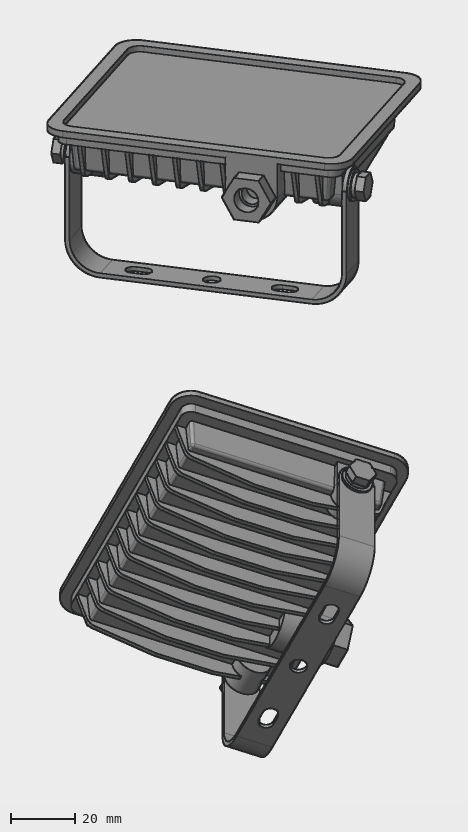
import cadquery as cq
import math


FRAME_X = 100.0
FRAME_Y = 80.0
FRAME_THICKNESS = 2.2
FRAME_CORNER = 7.0
FRAME_BORDER = 4.6
RECESS_CORNER = 4.0
RECESS_DEPTH = 2.0

RIM_INSET = 3.5
RIM_HEIGHT = 3.7
RIM_X = FRAME_X - 2 * RIM_INSET
RIM_Y = FRAME_Y - 2 * RIM_INSET
RIM_BOTTOM = -FRAME_THICKNESS - RIM_HEIGHT

BODY_INSET_X = 7.15
BODY_INSET_Y = 6.85
BODY_X = FRAME_X - 2 * BODY_INSET_X
BODY_Y = FRAME_Y - 2 * BODY_INSET_Y
BODY_HEIGHT = 10.0
BODY_DRAFT = 5.0
BODY_FILLET = 1.0

FIN_COUNT = 11
FIN_PITCH = 7.8
FIN_THICKNESS = 1.3
FIN_ROW_CENTER_X = 0.4
FIN_BOTTOM = -21.8
FIN_FLAT_HALF = 9.85
FIN_SHOULDER_Y = 32.6
FIN_SHOULDER_Z = -17.8
FIN_SHOULDER_RADIUS = 3.5

GLAND_X = 19.0
GLAND_RADIUS = 8.5
GLAND_Z = -13.5
GLAND_LENGTH = 18.0
NUT_ACROSS_FLATS = 14.0
NUT_HEIGHT = 5.0
NUT_BORE = 8.0
CABLE_BORE = 6.4
CABLE_BORE_DEPTH = 5.0

BRACKET_X = 92.5
BRACKET_THICKNESS = 1.5
BRACKET_WIDTH = 12.1
BRACKET_Y = -21.9
BRACKET_BOTTOM = -52.8
BRACKET_OUTER_BEND = 11.5
BRACKET_INNER_X = BRACKET_X / 2 - BRACKET_THICKNESS
PIVOT_Y = -21.75
PIVOT_Z = -13.75
MOUNT_HOLE = 5.5
MOUNT_SLOT_WIDTH = 5.0
MOUNT_SLOT_LENGTH = 8.5
MOUNT_SLOT_SPACING = 24.0

POST_LENGTH = 10.0
POST_RADIUS = 5.85
POST_Z = -15.0

WASHER_RADIUS = 5.1
WASHER_THICKNESS = 0.75
SPRING_WASHER_RADIUS = 4.0
SPRING_WASHER_THICKNESS = 1.35
BOLT_ACROSS_FLATS = 8.0
OVERALL_X = 102.6
BOLT_HEAD_HEIGHT = (OVERALL_X - BRACKET_X) / 2 - WASHER_THICKNESS - SPRING_WASHER_THICKNESS


def hexagon_diameter(across_flats):
    """Corner-to-corner size of a regular hexagon."""
    return across_flats / math.cos(math.pi / 6)


def rounded_block(size_x, size_y, height, corner, top):
    """Rounded rectangle hanging down from the given top level."""
    block = cq.Workplane("XY").workplane(offset=top).rect(size_x, size_y).extrude(-height)
    return block.edges("|Z").fillet(corner)


def make_frame():
    frame = rounded_block(FRAME_X, FRAME_Y, FRAME_THICKNESS, FRAME_CORNER, 0)
    rim = rounded_block(RIM_X, RIM_Y, RIM_HEIGHT, FRAME_CORNER - RIM_INSET, -FRAME_THICKNESS)
    return frame.union(rim)


def make_recess():
    return rounded_block(
        FRAME_X - 2 * FRAME_BORDER,
        FRAME_Y - 2 * FRAME_BORDER,
        RECESS_DEPTH,
        RECESS_CORNER,
        0,
    )


def make_body():
    body = (
        cq.Workplane("XY")
        .workplane(offset=RIM_BOTTOM)
        .rect(BODY_X, BODY_Y)
        .extrude(-BODY_HEIGHT, taper=BODY_DRAFT)
    )
    return body.edges("not >Z").fillet(BODY_FILLET)


def make_fin(x):
    fin = (
        cq.Workplane("YZ")
        .workplane(offset=x - FIN_THICKNESS / 2)
        .moveTo(RIM_Y / 2, RIM_BOTTOM)
        .lineTo(FIN_SHOULDER_Y, FIN_SHOULDER_Z)
        .lineTo(FIN_FLAT_HALF, FIN_BOTTOM)
        .lineTo(-FIN_FLAT_HALF, FIN_BOTTOM)
        .lineTo(-FIN_SHOULDER_Y, FIN_SHOULDER_Z)
        .lineTo(-RIM_Y / 2, RIM_BOTTOM)
        .close()
        .extrude(FIN_THICKNESS)
    )
    for shoulder_y in (-FIN_SHOULDER_Y, FIN_SHOULDER_Y):
        shoulder = cq.NearestToPointSelector((x, shoulder_y, FIN_SHOULDER_Z))
        fin = fin.edges("|X").edges(shoulder).fillet(FIN_SHOULDER_RADIUS)
    return fin


def front_plane(y):
    """Plane facing -Y at the given Y, centred on the cable gland."""
    return cq.Workplane(cq.Plane(origin=(GLAND_X, y, GLAND_Z), xDir=(1, 0, 0), normal=(0, -1, 0)))


def make_gland():
    back_y = -FRAME_Y / 2 + GLAND_LENGTH
    block_height = -FRAME_THICKNESS / 2 - GLAND_Z
    barrel = front_plane(back_y).circle(GLAND_RADIUS).extrude(GLAND_LENGTH)
    block = (
        front_plane(back_y)
        .center(0, block_height / 2)
        .rect(2 * GLAND_RADIUS, block_height)
        .extrude(GLAND_LENGTH)
    )
    nut = front_plane(-FRAME_Y / 2).polygon(6, hexagon_diameter(NUT_ACROSS_FLATS)).extrude(NUT_HEIGHT)
    return barrel.union(block).union(nut)


def make_cable_hole():
    nut_bore = front_plane(-FRAME_Y / 2).circle(NUT_BORE / 2).extrude(NUT_HEIGHT)
    cable_bore = front_plane(-FRAME_Y / 2).circle(CABLE_BORE / 2).extrude(-CABLE_BORE_DEPTH)
    return nut_bore.union(cable_bore)


def side_plane(x):
    """Plane facing +X at the given X, centred on the bracket pivot."""
    return cq.Workplane(cq.Plane(origin=(x, PIVOT_Y, PIVOT_Z), xDir=(0, 1, 0), normal=(1, 0, 0)))


def make_bracket():
    height = PIVOT_Z - BRACKET_BOTTOM
    outer = (
        cq.Workplane("XY")
        .box(BRACKET_X, BRACKET_WIDTH, height, centered=(True, True, False))
        .edges("|Y and <Z")
        .fillet(BRACKET_OUTER_BEND)
    )
    inner = (
        cq.Workplane("XY")
        .workplane(offset=BRACKET_THICKNESS)
        .box(2 * BRACKET_INNER_X, BRACKET_WIDTH, height, centered=(True, True, False))
        .edges("|Y and <Z")
        .fillet(BRACKET_OUTER_BEND - BRACKET_THICKNESS)
    )
    slots = (
        cq.Workplane("XY")
        .pushPoints([(-MOUNT_SLOT_SPACING, 0), (MOUNT_SLOT_SPACING, 0)])
        .slot2D(MOUNT_SLOT_LENGTH, MOUNT_SLOT_WIDTH)
        .extrude(BRACKET_THICKNESS)
    )
    hole = cq.Workplane("XY").circle(MOUNT_HOLE / 2).extrude(BRACKET_THICKNESS)
    strap = outer.cut(inner).cut(slots).cut(hole).translate((0, BRACKET_Y, BRACKET_BOTTOM))
    round_end = side_plane(BRACKET_INNER_X).circle(POST_RADIUS).extrude(BRACKET_THICKNESS)
    return strap.union(round_end).union(round_end.mirror("YZ"))


def make_post():
    """Round-bottomed post on the +X side, from the rim down."""
    start = BRACKET_INNER_X - POST_LENGTH
    height = RIM_BOTTOM - POST_Z
    drop = POST_Z - PIVOT_Z
    barrel = side_plane(start).center(0, drop).circle(POST_RADIUS).extrude(POST_LENGTH)
    block = (
        side_plane(start)
        .center(0, drop + height / 2)
        .rect(2 * POST_RADIUS, height)
        .extrude(POST_LENGTH)
    )
    return barrel.union(block)


def make_bolt():
    """Washer, spring washer and hexagon head on the +X side of the bracket."""
    spring_x = BRACKET_X / 2 + WASHER_THICKNESS
    head_x = spring_x + SPRING_WASHER_THICKNESS
    washer = side_plane(BRACKET_X / 2).circle(WASHER_RADIUS).extrude(WASHER_THICKNESS)
    spring = side_plane(spring_x).circle(SPRING_WASHER_RADIUS).extrude(SPRING_WASHER_THICKNESS)
    head = side_plane(head_x).polygon(6, hexagon_diameter(BOLT_ACROSS_FLATS)).extrude(BOLT_HEAD_HEIGHT)
    return washer.union(spring).union(head)


result = make_frame().union(make_body())
for index in range(FIN_COUNT):
    fin_x = FIN_ROW_CENTER_X + (index - (FIN_COUNT - 1) / 2) * FIN_PITCH
    result = result.union(make_fin(fin_x))
result = result.union(make_gland()).union(make_bracket())
for side_part in (make_post(), make_bolt()):
    result = result.union(side_part).union(side_part.mirror("YZ"))
result = result.cut(make_recess()).cut(make_cable_hole())